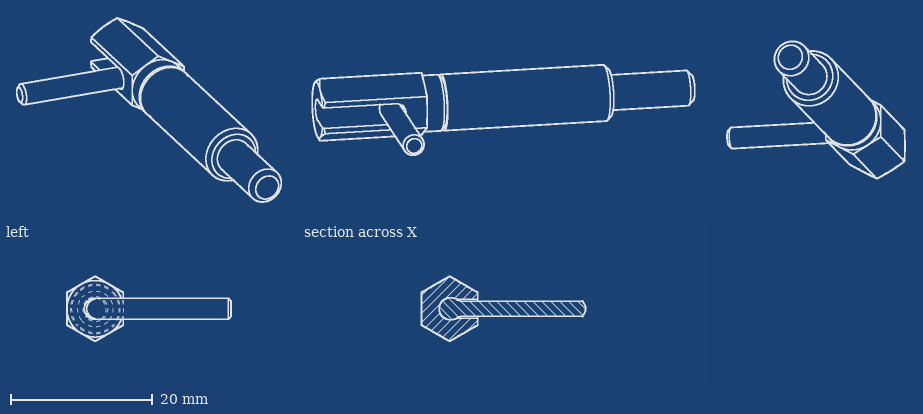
import cadquery as cq
import math

head_length = 15.0
barrel_diameter = 8.0
hex_across_flats = barrel_diameter
hex_across_corners = hex_across_flats / math.cos(math.radians(30))
head_chamfer_angle = 30
groove_depth = 0.5
groove_end = 18.0
groove_start = groove_end - groove_depth
barrel_end = 42.0
barrel_chamfer = 0.65

total_length = 54.0
rod_diameter = 5.0
rod_start = groove_end
rod_chamfer = 0.75
handle_diameter = 3.0
handle_x = 10.15
handle_tip_y = -19.2
handle_chamfer = 0.45
bend_radius = 1.75

slot_width = handle_diameter
slot_end = 12.0


def cylinder_x(diameter, start, end):
    return cq.Workplane("YZ").workplane(offset=start).circle(diameter / 2).extrude(end - start)


def make_plunger():
    """Rod and bent handle as one solid."""
    rod = cylinder_x(rod_diameter, rod_start, total_length).faces(">X").chamfer(rod_chamfer)
    bend_end_x = handle_x + bend_radius
    shank = cylinder_x(handle_diameter, bend_end_x, rod_start)
    bend = (
        cq.Workplane("YZ", origin=(bend_end_x, 0, 0))
        .circle(handle_diameter / 2)
        .revolve(90, (-bend_radius, 0), (-bend_radius, 1))
    )
    grip = (
        cq.Workplane("XZ", origin=(handle_x, -bend_radius, 0))
        .circle(handle_diameter / 2)
        .extrude(-bend_radius - handle_tip_y)
        .faces("<Y")
        .chamfer(handle_chamfer)
    )
    return rod.union(shank).union(bend).union(grip)


def make_head():
    """Hexagon with corners at +Z and -Z, its free end turned to a cone."""
    hexagon = (
        cq.Workplane("YZ")
        .polygon(6, hex_across_corners)
        .extrude(head_length)
        .rotate((0, 0, 0), (1, 0, 0), 90)
    )
    face_radius = hex_across_flats / 2
    cone_end_radius = face_radius + head_length / math.tan(math.radians(head_chamfer_angle))
    cone = (
        cq.Workplane("XY")
        .polyline([(0, 0), (0, face_radius), (head_length, cone_end_radius), (head_length, 0)])
        .close()
        .revolve(360, (0, 0), (1, 0))
    )
    return hexagon.intersect(cone)


def make_barrel():
    """Collar and barrel separated by a groove with one sloped wall and one square wall."""
    barrel = cylinder_x(barrel_diameter, head_length, barrel_end).faces(">X").chamfer(barrel_chamfer)
    radius = barrel_diameter / 2
    groove = (
        cq.Workplane("XY")
        .polyline([(groove_start, radius), (groove_end, radius - groove_depth), (groove_end, radius)])
        .close()
        .revolve(360, (0, 0), (1, 0))
    )
    return barrel.cut(groove)


def make_slot():
    """Round-bottomed channel along the axis, open to -Y and to the free end."""
    slot_radius = slot_width / 2
    last_center_x = slot_end - slot_radius
    channel = cylinder_x(slot_width, 0, last_center_x)
    opening = (
        cq.Workplane("XZ")
        .rect(2 * last_center_x, slot_width)
        .extrude(hex_across_flats)
    )
    round_end = cq.Workplane("XZ", origin=(last_center_x, 0, 0)).circle(slot_radius).extrude(hex_across_flats)
    return channel.union(opening).union(round_end)


plunger = make_plunger()
housing = make_head().union(make_barrel()).cut(make_slot()).cut(plunger)

result = cq.Compound.makeCompound([*housing.solids().vals(), *plunger.solids().vals()])